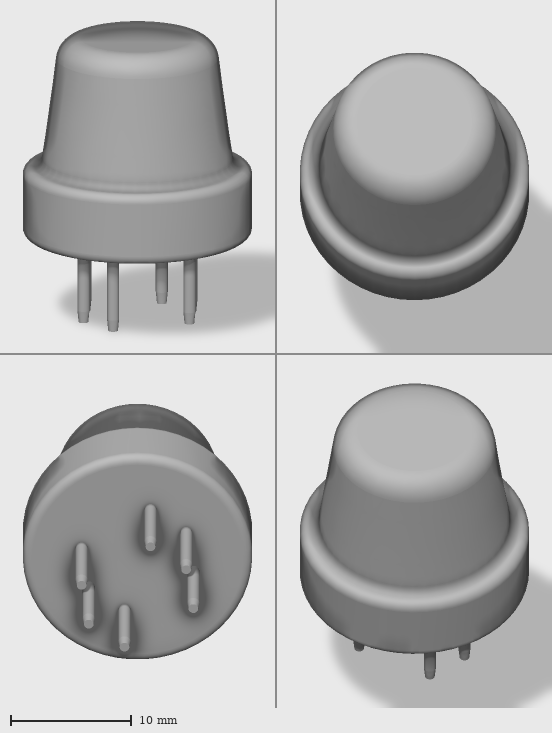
import cadquery as cq
import math

base_diameter = 19.0
base_height = 6.0
base_edge_radius = 0.75

body_height = 17.0
cap_bottom_diameter = 16.0
cap_top_diameter = 13.0
cap_top_radius = 2.0
cap_root_radius = 0.75

pin_diameter = 1.0
pin_length = 7.0
pin_tip_length = 1.0
pin_tip_end_diameter = 0.8
pin_circle_radius = 4.75
pin_row_centres = (90, 270)
pin_spacing_angle = 45
pin_embed = 1.0


def make_body():
    """Base and cap, each rounded on its rims, with a fillet where they meet."""
    base = cq.Workplane("XY").circle(base_diameter / 2).extrude(base_height)
    base = base.faces("<Z or >Z").edges().fillet(base_edge_radius)

    cap_height = body_height - base_height
    inward_step = (cap_bottom_diameter - cap_top_diameter) / 2
    taper_angle = math.degrees(math.atan2(inward_step, cap_height))
    cap = (
        cq.Workplane("XY", origin=(0, 0, base_height))
        .circle(cap_bottom_diameter / 2)
        .extrude(cap_height, taper=taper_angle)
    )
    cap = cap.faces(">Z").edges().fillet(cap_top_radius)

    body = base.union(cap)
    flat_ring = body.faces("|Z").faces("<Z[1]")
    root_edge = flat_ring.edges(cq.selectors.RadiusNthSelector(0))
    return root_edge.fillet(cap_root_radius)


def make_pin(angle):
    """One pin on the pin circle, with a slightly tapered tip."""
    x = pin_circle_radius * math.cos(math.radians(angle))
    y = pin_circle_radius * math.sin(math.radians(angle))
    tip_inset = (pin_diameter - pin_tip_end_diameter) / 2
    return (
        cq.Workplane("XY", origin=(x, y, pin_embed))
        .circle(pin_diameter / 2)
        .extrude(-(pin_embed + pin_length))
        .faces("<Z")
        .edges()
        .chamfer(pin_tip_length, tip_inset)
    )


result = make_body()
for row_centre in pin_row_centres:
    for step in (-1, 0, 1):
        result = result.union(make_pin(row_centre + step * pin_spacing_angle))